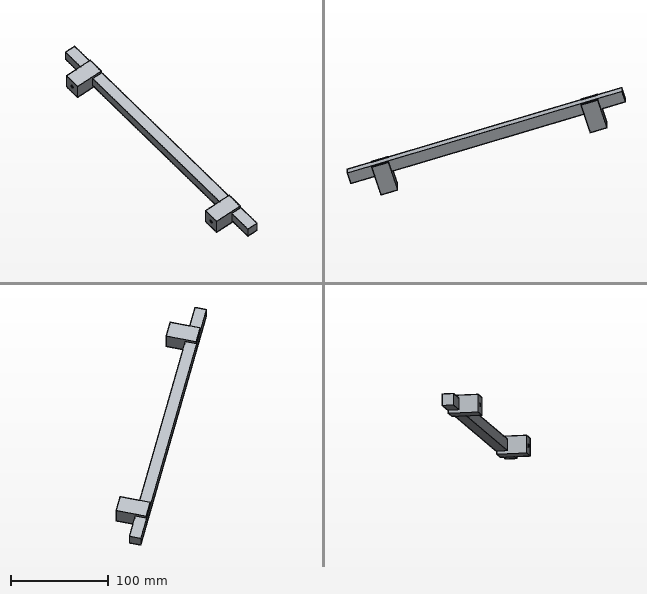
import cadquery as cq
import math

bar_length = 294.0
bar_side = 12.0
overall_depth = 32.0
post_spacing = 224.0
post_width = 18.0
post_height = 18.5
bar_proud = 0.5
post_depth = overall_depth - bar_proud

hole_diameter = 3.2
hole_depth = 11.8
drill_tip_angle = 118.0

bar_center_y = overall_depth - bar_side / 2


def make_post(x):
    return cq.Workplane("XY").box(post_width, post_depth, post_height).translate((x, post_depth / 2, 0))


def make_screw_hole(x):
    radius = hole_diameter / 2
    tip_length = radius / math.tan(math.radians(drill_tip_angle / 2))
    half_profile = (
        cq.Workplane("XY")
        .lineTo(radius, 0)
        .lineTo(radius, hole_depth)
        .lineTo(0, hole_depth + tip_length)
        .close()
    )
    return half_profile.revolve(360, (0, 0, 0), (0, 1, 0)).translate((x, 0, 0))


result = cq.Workplane("XY").box(bar_length, bar_side, bar_side).translate((0, bar_center_y, 0))
for post_x in (-post_spacing / 2, post_spacing / 2):
    result = result.union(make_post(post_x)).cut(make_screw_hole(post_x))